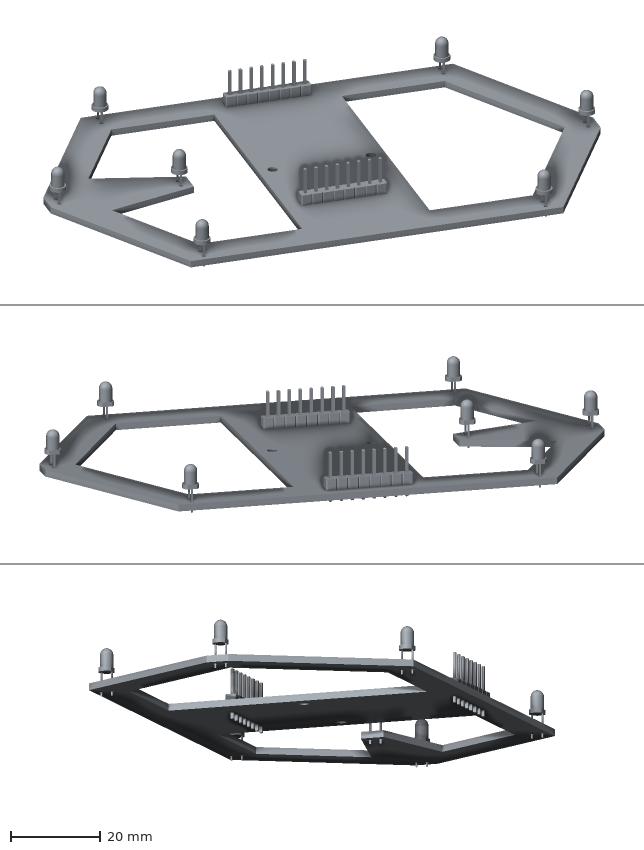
import cadquery as cq
import math

BOARD_WIDTH = 78.0
BOARD_LENGTH = 130.0
BOARD_THICKNESS = 1.5
END_FLAT_WIDTH = 5.3
END_SLOPE = math.tan(math.radians(30))
FRAME_WIDTH = 7.9
CROSSBAR_WIDTH = 30.2
SCREW_HOLE_DIAMETER = 2.3
SCREW_HOLE_SPACING = 23.3
SCREW_HOLE_X = -0.1

TONGUE_TIP_Y = -31.2
TONGUE_TIP_WIDTH = 5.5
TONGUE_BASE_LEFT = -8.7
TONGUE_BASE_RIGHT = 8.5

HEADER_LENGTH = 20.3
PIN_COUNT = 8
PIN_PITCH = HEADER_LENGTH / PIN_COUNT
PIN_WIDTH = 0.7
PIN_TOP = 8.6
PIN_BOTTOM = -3.0
CELL_CHAMFER = 0.3
PIN_CHAMFER = 0.1
CELL_HEIGHT = PIN_PITCH
HEADER_ROWS_X = (-34.9, 18.6)
HEADER_CENTRE_Y = -1.3

LENS_DIAMETER = 3.0
FLANGE_DIAMETER = 3.8
FLANGE_THICKNESS = 1.0
FLANGE_BOTTOM = 3.0
LED_TOP = 8.5
LEAD_WIDTH = 0.4
LEAD_SPACING = PIN_PITCH
LEAD_BOTTOM = -2.5
LEAD_HOLE_DIAMETER = 0.9
LED_SIDE_X = 36.2
LED_SIDE_Y = 40.5
LED_MIDDLE_X = 0.2
LED_END_Y = 62.5
LED_TONGUE_Y = -33.8

LED_POINTS = [
    (LED_MIDDLE_X, LED_END_Y),
    (-LED_SIDE_X, LED_SIDE_Y),
    (LED_SIDE_X, LED_SIDE_Y),
    (-LED_SIDE_X, -LED_SIDE_Y),
    (LED_SIDE_X, -LED_SIDE_Y),
    (LED_MIDDLE_X, LED_TONGUE_Y),
    (LED_MIDDLE_X, -LED_END_Y),
]
LEAD_OFFSETS = [(-LEAD_SPACING / 2, 0), (LEAD_SPACING / 2, 0)]
PIN_OFFSETS = [(0, (i - (PIN_COUNT - 1) / 2) * PIN_PITCH) for i in range(PIN_COUNT)]

WINDOW_HALF_WIDTH = BOARD_WIDTH / 2 - FRAME_WIDTH
OUTLINE_APEX_Y = BOARD_LENGTH / 2 + END_FLAT_WIDTH / 2 * END_SLOPE
WINDOW_APEX_Y = OUTLINE_APEX_Y - FRAME_WIDTH * math.hypot(1, END_SLOPE)


def prism(points, bottom, top):
    """Upright prism over a closed outline."""
    return cq.Workplane("XY").workplane(offset=bottom).polyline(points).close().extrude(top - bottom)


def square_posts(offsets, width, bottom, top):
    """Upright square posts at the given places."""
    posts = cq.Workplane("XY").workplane(offset=bottom).pushPoints(offsets)
    return posts.rect(width, width).extrude(top - bottom)


def window_edge_y(x):
    """Distance from the X axis to the sloping edge of a window."""
    return WINDOW_APEX_Y - abs(x) * END_SLOPE


def board_blank():
    half_width = BOARD_WIDTH / 2
    half_length = BOARD_LENGTH / 2
    half_flat = END_FLAT_WIDTH / 2
    shoulder_y = OUTLINE_APEX_Y - half_width * END_SLOPE
    outline = [
        (half_flat, half_length),
        (half_width, shoulder_y),
        (half_width, -shoulder_y),
        (half_flat, -half_length),
        (-half_flat, -half_length),
        (-half_width, -shoulder_y),
        (-half_width, shoulder_y),
        (-half_flat, half_length),
    ]
    return prism(outline, -BOARD_THICKNESS, 0)


def upper_window():
    outline = [
        (-WINDOW_HALF_WIDTH, CROSSBAR_WIDTH / 2),
        (WINDOW_HALF_WIDTH, CROSSBAR_WIDTH / 2),
        (WINDOW_HALF_WIDTH, window_edge_y(WINDOW_HALF_WIDTH)),
        (0, WINDOW_APEX_Y),
        (-WINDOW_HALF_WIDTH, window_edge_y(WINDOW_HALF_WIDTH)),
    ]
    return prism(outline, -BOARD_THICKNESS, 0)


def lower_window():
    """Lower window, notched by the tongue."""
    outline = [
        (-WINDOW_HALF_WIDTH, -CROSSBAR_WIDTH / 2),
        (WINDOW_HALF_WIDTH, -CROSSBAR_WIDTH / 2),
        (WINDOW_HALF_WIDTH, -window_edge_y(WINDOW_HALF_WIDTH)),
        (TONGUE_BASE_RIGHT, -window_edge_y(TONGUE_BASE_RIGHT)),
        (TONGUE_TIP_WIDTH / 2, TONGUE_TIP_Y),
        (-TONGUE_TIP_WIDTH / 2, TONGUE_TIP_Y),
        (TONGUE_BASE_LEFT, -window_edge_y(TONGUE_BASE_LEFT)),
        (-WINDOW_HALF_WIDTH, -window_edge_y(WINDOW_HALF_WIDTH)),
    ]
    return prism(outline, -BOARD_THICKNESS, 0)


def round_holes(points, diameter):
    """Cutters for holes through the board."""
    return cq.Workplane("XY").pushPoints(points).circle(diameter / 2).extrude(-BOARD_THICKNESS)


def make_board():
    screw_points = [(SCREW_HOLE_X, -SCREW_HOLE_SPACING / 2), (SCREW_HOLE_X, SCREW_HOLE_SPACING / 2)]
    lead_points = [(x + dx, y + dy) for x, y in LED_POINTS for dx, dy in LEAD_OFFSETS]
    pin_points = [(x + dx, HEADER_CENTRE_Y + dy) for x in HEADER_ROWS_X for dx, dy in PIN_OFFSETS]
    board = board_blank().cut(upper_window()).cut(lower_window())
    board = board.cut(round_holes(screw_points, SCREW_HOLE_DIAMETER))
    board = board.cut(round_holes(lead_points, LEAD_HOLE_DIAMETER))
    return board.cut(square_posts(pin_points, PIN_WIDTH, -BOARD_THICKNESS, 0))


def make_header():
    """Header centred on the Z axis: strip of cells on Z = 0, pins chamfered at both ends."""
    cells = cq.Workplane("XY").pushPoints(PIN_OFFSETS).rect(PIN_PITCH, PIN_PITCH)
    cells = cells.extrude(CELL_HEIGHT, combine=False).edges("|Z").chamfer(CELL_CHAMFER)
    pins = square_posts(PIN_OFFSETS, PIN_WIDTH, PIN_BOTTOM, PIN_TOP)
    pins = pins.faces("<Z or >Z").chamfer(PIN_CHAMFER)
    return cells.union(pins)


def make_led():
    """LED centred on the Z axis, the flat of its flange facing -X."""
    lens_radius = LENS_DIAMETER / 2
    dome_bottom = LED_TOP - lens_radius
    base = cq.Workplane("XY").workplane(offset=FLANGE_BOTTOM)
    dome = cq.Workplane("XY").sphere(lens_radius).translate((0, 0, dome_bottom))
    lens = base.circle(lens_radius).extrude(dome_bottom - FLANGE_BOTTOM).union(dome)
    flange = base.circle(FLANGE_DIAMETER / 2).extrude(FLANGE_THICKNESS)
    flat_cut = base.center(-lens_radius - FLANGE_DIAMETER / 2, 0).rect(FLANGE_DIAMETER, FLANGE_DIAMETER)
    flange = flange.cut(flat_cut.extrude(FLANGE_THICKNESS))
    leads = square_posts(LEAD_OFFSETS, LEAD_WIDTH, LEAD_BOTTOM, FLANGE_BOTTOM)
    return lens.union(flange).union(leads)


board = make_board()
headers = [make_header().translate((x, HEADER_CENTRE_Y, 0)) for x in HEADER_ROWS_X]
leds = [make_led().translate((x, y, 0)) for x, y in LED_POINTS]

result = cq.Compound.makeCompound(
    [
        board.val(),
        *[header.val() for header in headers],
        *[led.val() for led in leds],
    ]
)